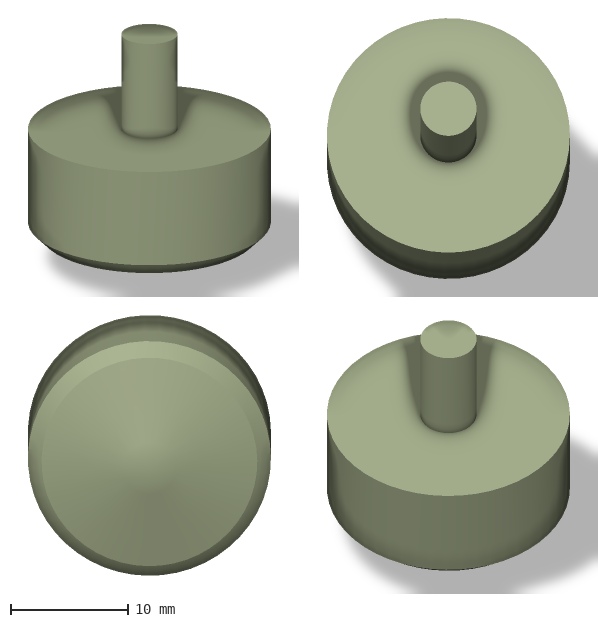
import cadquery as cq

total_height = 21.1
body_diameter = 20.7
stem_diameter = 4.8
stem_height = 8.63
tip_height = 2.8
chamfer_size = 1.15

body_radius = body_diameter / 2
stem_radius = stem_diameter / 2
tip_base_radius = body_radius - chamfer_size
chamfer_top = tip_height + chamfer_size
body_top = total_height - stem_height

half_profile = [
    (0, 0),
    (tip_base_radius, tip_height),
    (body_radius, chamfer_top),
    (body_radius, body_top),
    (stem_radius, body_top),
    (stem_radius, total_height),
    (0, total_height),
]

result = (
    cq.Workplane("XZ")
    .polyline(half_profile)
    .close()
    .revolve(360, (0, 0, 0), (0, 1, 0))
)